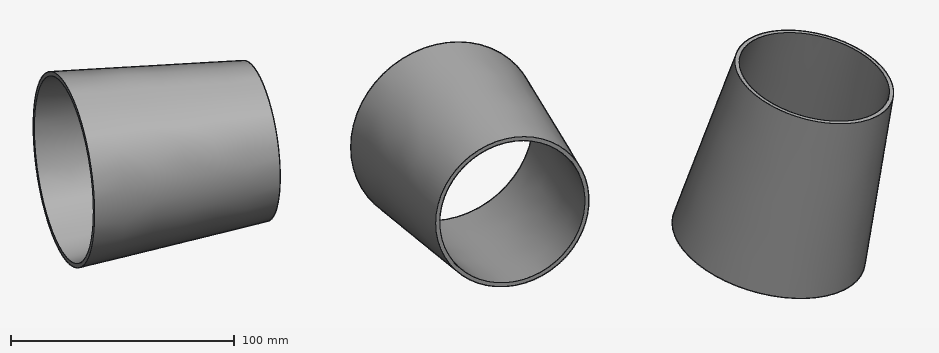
import cadquery as cq

length = 90.0
large_diameter = 88.9
small_diameter = 73.0
wall = 2.0

large_radius = large_diameter / 2
small_radius = small_diameter / 2
large_end_y = -length / 2
small_end_y = length / 2

wall_section = (
    cq.Workplane("XY")
    .moveTo(large_radius - wall, large_end_y)
    .lineTo(large_radius, large_end_y)
    .lineTo(small_radius, small_end_y)
    .lineTo(small_radius - wall, small_end_y)
    .close()
)

result = wall_section.revolve(360, (0, 0, 0), (0, 1, 0))